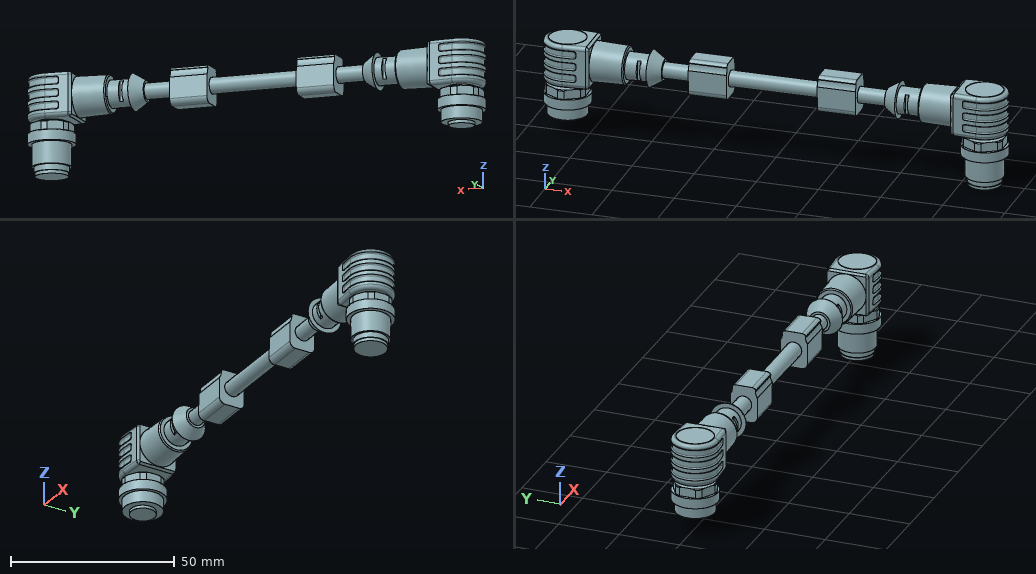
import cadquery as cq
import math

overall_length = 149.2
cable_diameter = 5.2

body_diameter = 15.0
body_radius = body_diameter / 2
body_height = 14.1
body_top = 7.0
body_bottom = body_top - body_height
body_length = 16.4
body_taper_angle = math.radians(3.8)
body_edge_fillet = 1.2
body_end_chamfer_length = 1.0
body_end_chamfer_depth = 0.5
plug_axis_x = -overall_length / 2 + body_radius
body_end_x = -overall_length / 2 + body_length
bevel_start_x = body_end_x - body_end_chamfer_length

recess_diameter = 11.8
recess_depth = 0.1

groove_count = 3
groove_height = 2.45
groove_pitch = 3.9
groove_depth = 0.45
groove_corner_radius = 0.8
groove_floor_fillet = 0.35
first_groove_drop = 2.8
groove_block_length = body_length
selection_margin = 0.05
groove_end_x = -overall_length / 2 + 12.4

sleeve_start_diameter = 12.9
sleeve_end_diameter = 12.3
sleeve_length = 10.8
sleeve_end_chamfer = 0.4
boot_diameter = 8.8
boot_length = 7.4
boot_slot_width = 1.1
boot_slot_depth = 1.4
boot_slot_offset = 4.3
cone_large_diameter = 12.0
cone_small_diameter = 6.8
cone_length = 4.1
sleeve_end_x = body_end_x + sleeve_length
boot_end_x = sleeve_end_x + boot_length
cone_end_x = boot_end_x + cone_length

neck_diameter = 8.7
neck_length = 0.9
hex_across_flats = 13.0
hex_corner_diameter = 14.0
hex_height = 3.0
hex_top_chamfer = 0.3
flange_diameter = 15.0
flange_height = 3.3
hex_top = body_bottom - neck_length
flange_top = hex_top - hex_height
flange_bottom = flange_top - flange_height

female_barrel_diameter = 12.8
female_barrel_length = 3.9
insert_diameter = 8.3
insert_length = 1.0

male_barrel_diameter = 12.3
male_barrel_length = 7.1
tip_diameter = 10.95
tip_length = 1.9
tip_end_diameter = 10.5
total_height = 31.4
tip_end_length = flange_bottom - male_barrel_length - tip_length - (body_top - total_height)

clip_length = 12.3
clip_center_x = 20.75
clip_half_width = 4.5
clip_half_height = 6.0
clip_bottom_fillet = 2.0
clip_shoulder_z = 2.75
clip_waist_half_width = 3.8
clip_cap_edge_z = 5.0
clip_top_half_width = 2.7
clip_cap_half_width = 4.1


def x_cone(x_start, x_end, start_diameter, end_diameter):
    """Solid of revolution about the cable axis with a straight flank."""
    return (
        cq.Workplane("XZ")
        .moveTo(x_start, 0)
        .lineTo(x_start, start_diameter / 2)
        .lineTo(x_end, end_diameter / 2)
        .lineTo(x_end, 0)
        .close()
        .revolve(360, (0, 0, 0), (1, 0, 0))
    )


def stacked_cylinders(top, sections):
    """Coaxial cylinders on the plug axis, each (diameter, length), going down from top."""
    stack = cq.Workplane("XY")
    for diameter, length in sections:
        stack = stack.union(
            cq.Workplane("XY", origin=(plug_axis_x, 0, top)).circle(diameter / 2).extrude(-length)
        )
        top -= length
    return stack


def body_block(inset):
    """Body plan (round end with tapering sides), moved inward by inset, at full height."""
    radius = body_radius - inset
    tangent_x = plug_axis_x + radius * math.sin(body_taper_angle)
    tangent_y = radius * math.cos(body_taper_angle)
    end_y = tangent_y - (bevel_start_x - tangent_x) * math.tan(body_taper_angle)
    return (
        cq.Workplane("XY", origin=(0, 0, body_bottom))
        .moveTo(bevel_start_x, -end_y)
        .lineTo(body_end_x, -end_y + body_end_chamfer_depth)
        .lineTo(body_end_x, end_y - body_end_chamfer_depth)
        .lineTo(bevel_start_x, end_y)
        .lineTo(tangent_x, tangent_y)
        .threePointArc((plug_axis_x - radius, 0), (tangent_x, -tangent_y))
        .close()
        .extrude(body_height)
    )


def grip_grooves():
    """Grooves around the round end of the body, closed on its sides, with filleted floors."""
    floor_radius = body_radius - groove_depth
    core = body_block(groove_depth)
    floor_edges = cq.selectors.BoxSelector(
        (plug_axis_x - floor_radius - selection_margin, -floor_radius - selection_margin, body_bottom),
        (body_end_x, floor_radius + selection_margin, body_top),
        boundingbox=True,
    )
    grooves = cq.Workplane("XY")
    for index in range(groove_count):
        z = body_top - first_groove_drop - index * groove_pitch
        groove = (
            cq.Workplane("XY")
            .box(groove_block_length, body_diameter, groove_height)
            .edges("|Y")
            .fillet(groove_corner_radius)
            .translate((groove_end_x - groove_block_length / 2, 0, z))
            .cut(core)
            .edges(floor_edges)
            .fillet(groove_floor_fillet)
        )
        grooves = grooves.union(groove)
    return grooves


def connector_body():
    """Body with rounded rims, a bevelled cable end, grip grooves and a round top recess."""
    side_profile = (
        cq.Workplane("XZ")
        .moveTo(-overall_length / 2, body_bottom)
        .lineTo(bevel_start_x, body_bottom)
        .lineTo(body_end_x, body_bottom + body_end_chamfer_depth)
        .lineTo(body_end_x, body_top - body_end_chamfer_depth)
        .lineTo(bevel_start_x, body_top)
        .lineTo(-overall_length / 2, body_top)
        .close()
        .extrude(body_radius, both=True)
    )
    body = body_block(0).faces("<Z or >Z").edges("not(>X)").fillet(body_edge_fillet).intersect(side_profile)
    top_recess = stacked_cylinders(body_top, [(recess_diameter, recess_depth)])
    return body.cut(grip_grooves()).cut(top_recess)


def strain_relief():
    """Tapered sleeve, boot with a slot on each Y side, and cone."""
    sleeve = x_cone(body_end_x, sleeve_end_x, sleeve_start_diameter, sleeve_end_diameter)
    sleeve = sleeve.faces(">X").chamfer(sleeve_end_chamfer)
    boot = x_cone(sleeve_end_x, boot_end_x, boot_diameter, boot_diameter)
    for side in (-1, 1):
        slot_y = side * (boot_diameter - boot_slot_depth) / 2
        boot = boot.cut(
            cq.Workplane("XY")
            .box(boot_slot_width, boot_slot_depth, boot_diameter)
            .translate((sleeve_end_x + boot_slot_offset, slot_y, 0))
        )
    cone = x_cone(boot_end_x, cone_end_x, cone_large_diameter, cone_small_diameter)
    return sleeve.union(boot).union(cone)


def coupling_nut():
    """Neck, hexagon with rounded corners and two flats facing X, and round flange."""
    corner_circle = (
        cq.Workplane("XY", origin=(plug_axis_x, 0, flange_top))
        .circle(hex_corner_diameter / 2)
        .extrude(hex_height)
        .faces(">Z")
        .chamfer(hex_top_chamfer)
    )
    hexagon = (
        cq.Workplane("XY")
        .polygon(6, hex_across_flats, circumscribed=True)
        .extrude(hex_height)
        .translate((plug_axis_x, 0, flange_top))
        .intersect(corner_circle)
    )
    neck = stacked_cylinders(body_bottom, [(neck_diameter, neck_length)])
    flange = stacked_cylinders(flange_top, [(flange_diameter, flange_height)])
    return neck.union(hexagon).union(flange)


def connector(plug_sections):
    """Connector at the -X cable end, carrying the given plug end below its coupling nut."""
    return (
        connector_body()
        .union(strain_relief())
        .union(coupling_nut())
        .union(stacked_cylinders(flange_bottom, plug_sections))
    )


def label_clip(center_x):
    """Clip with rounded bottom corners and a rounded top cap overhanging a cove on each side."""
    cove_depth = clip_half_width - clip_waist_half_width
    cove_height = clip_cap_edge_z - clip_shoulder_z
    cove_radius = (cove_depth**2 + cove_height**2) / (2 * cove_depth)
    cap_overhang = clip_cap_half_width - clip_top_half_width
    cap_drop = clip_half_height - clip_cap_edge_z
    cap_radius = (cap_overhang**2 + cap_drop**2) / (2 * cap_drop)
    bottom_z = clip_bottom_fillet - clip_half_height
    bottom_half_width = clip_half_width - clip_bottom_fillet
    half = (
        cq.Workplane("YZ", origin=(center_x - clip_length / 2, 0, 0))
        .moveTo(0, clip_half_height)
        .lineTo(clip_top_half_width, clip_half_height)
        .radiusArc((clip_cap_half_width, clip_cap_edge_z), cap_radius)
        .lineTo(clip_waist_half_width, clip_cap_edge_z)
        .radiusArc((clip_half_width, clip_shoulder_z), -cove_radius)
        .lineTo(clip_half_width, bottom_z)
        .tangentArcPoint((bottom_half_width, -clip_half_height), relative=False)
        .lineTo(0, -clip_half_height)
        .close()
        .extrude(clip_length)
    )
    return half.union(half.mirror("XZ"))


female_sections = [
    (female_barrel_diameter, female_barrel_length),
    (insert_diameter, insert_length),
]
male_sections = [
    (male_barrel_diameter, male_barrel_length),
    (tip_diameter, tip_length),
    (tip_end_diameter, tip_end_length),
]

result = x_cone(body_end_x, -body_end_x, cable_diameter, cable_diameter)
result = result.union(connector(female_sections))
result = result.union(connector(male_sections).mirror("YZ"))
for clip_x in (-clip_center_x, clip_center_x):
    result = result.union(label_clip(clip_x))